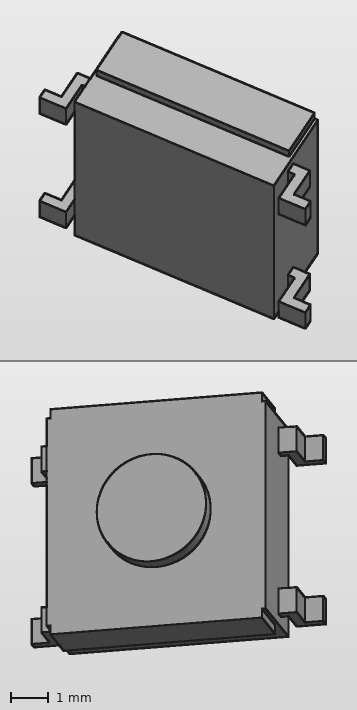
import cadquery as cq

housing_width = 6.0
housing_height = 5.8
housing_front = 0.1
housing_back = 2.6

band_width = 5.8
band_height = 6.3
band_front = 1.15

button_diameter = 3.0
button_back = 3.1

lead_span = 8.0
lead_thickness = 0.3
lead_width = 0.7
lead_top = 1.2
lead_spacing = 4.5
leg_outer_x = 3.5
leg_inner_x = leg_outer_x - lead_thickness
lead_embedment = 0.2
lead_root_x = housing_width / 2 - lead_embedment


def centred_block(width, height, front, back):
    """Block centred on X and Z that runs from front to back along Y."""
    mid_y = (front + back) / 2
    return cq.Workplane("XY").box(width, back - front, height).translate((0, mid_y, 0))


def make_button():
    """Cylinder rising from the +Y face of the housing."""
    return (
        cq.Workplane("XZ", origin=(0, housing_back, 0))
        .circle(button_diameter / 2)
        .extrude(housing_back - button_back)
    )


def make_lead(side, z_centre):
    """Lead on the +X (side = 1) or -X (side = -1) side of the housing."""
    profile = [
        (lead_root_x, lead_top),
        (leg_outer_x, lead_top),
        (leg_outer_x, lead_thickness),
        (lead_span / 2, lead_thickness),
        (lead_span / 2, 0),
        (leg_inner_x, 0),
        (leg_inner_x, lead_top - lead_thickness),
        (lead_root_x, lead_top - lead_thickness),
    ]
    return (
        cq.Workplane("XY", origin=(0, 0, z_centre))
        .polyline([(side * x, y) for x, y in profile])
        .close()
        .extrude(lead_width / 2, both=True)
    )


housing = centred_block(housing_width, housing_height, housing_front, housing_back)
band = centred_block(band_width, band_height, band_front, housing_back)

result = housing.union(band).union(make_button())
for side in (-1, 1):
    for z_centre in (-lead_spacing / 2, lead_spacing / 2):
        result = result.union(make_lead(side, z_centre))